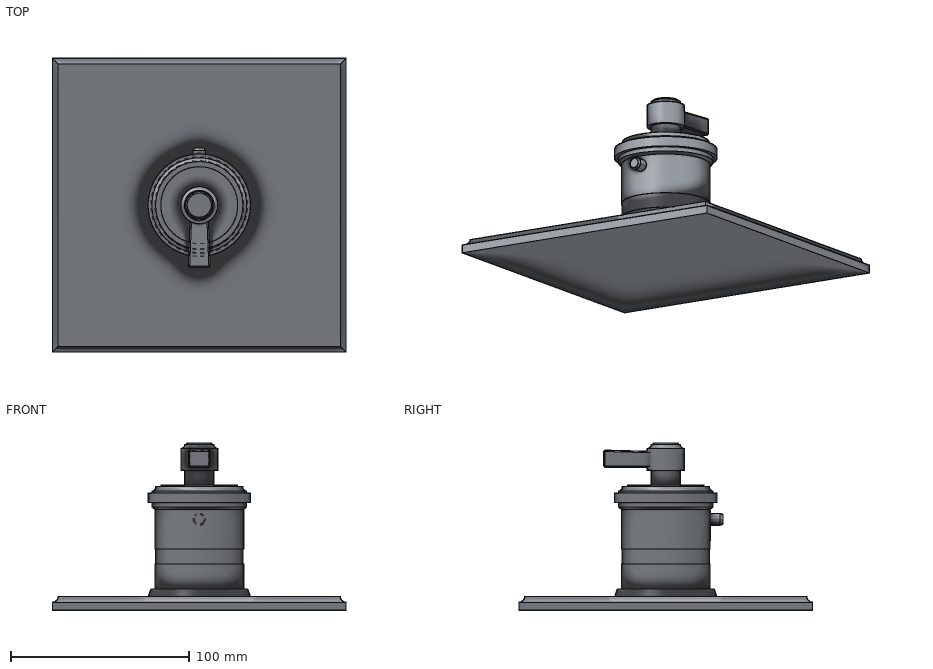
import cadquery as cq

plate_side = 165.1
plate_height = 7.9
plate_edge_height = 4.6
rim_cove_radius = plate_height - plate_edge_height

foot_top_z = 12.1
foot_bottom_radius = 28.7
foot_top_radius = 27.2
barrel_radius = 25.0

band_bottom_z = 26.1
band_top_z = 34.4
band_depth = 0.3

collar_bottom_z = 56.8
collar_bevel = 1.4
collar_radius = 26.6
flange_bottom_z = 60.6
flange_top_z = 65.9
flange_radius = 28.8
collar_top_z = 67.0
crown_z = 69.7
crown_radius = 24.5
cap_z = 70.4
cap_radius = 21.6

stem_radius = 8.2
hub_bottom_z = 78.7
hub_radius = 10.4
hub_shoulder_z = 91.1
hub_cove_bottom_radius = 9.8
hub_cove_top_z = 93.1
hub_cove_top_radius = 8.3
button_bottom_radius = 7.6
button_top_radius = 6.8
total_height = 94.11

lever_reach = 34.9
lever_bottom_z = 80.4
lever_root_width = 10.0
lever_root_top_z = 89.3
lever_tip_width = 12.4
lever_tip_top_z = 90.1
lever_root_y = -hub_radius / 2
lever_edge_chamfer = 0.8
lever_root_fillet = 1.1

pin_radius = 3.4
pin_reach = 32.2
pin_z = 51.2
pin_tip_length = 1.6
pin_tip_inset = 0.7

COVE_SAG = 1 - 0.5 ** 0.5


def add_cove(profile, outer, inner):
    """Continue a profile from outer (r, z) up to inner (r, z) along a concave quarter curve."""
    middle = (
        inner[0] + COVE_SAG * (outer[0] - inner[0]),
        outer[1] + COVE_SAG * (inner[1] - outer[1]),
    )
    return profile.lineTo(*outer).threePointArc(middle, inner)


def make_plate():
    half = plate_side / 2
    plate = cq.Workplane("XY").box(plate_side, plate_side, plate_height, centered=(True, True, False))
    cove_outer = (half, plate_edge_height)
    cove_inner = (half - rim_cove_radius, plate_height)
    rim = add_cove(cq.Workplane("XZ").moveTo(half, plate_height), cove_outer, cove_inner).close()
    strip = rim.extrude(half, both=True)
    for side in range(4):
        plate = plate.cut(strip.rotate((0, 0, 0), (0, 0, 1), 90 * side))
    return plate


def make_turned_body():
    """Foot, barrel, collar, stem and hub, turned about Z."""
    band_radius = barrel_radius - band_depth
    profile = (
        cq.Workplane("XZ")
        .moveTo(0, 0)
        .lineTo(foot_bottom_radius, 0)
        .lineTo(foot_bottom_radius, plate_height)
        .lineTo(foot_top_radius, foot_top_z)
        .lineTo(barrel_radius, foot_top_z)
        .lineTo(barrel_radius, band_bottom_z)
        .lineTo(band_radius, band_bottom_z)
        .lineTo(band_radius, band_top_z)
        .lineTo(barrel_radius, band_top_z)
        .lineTo(barrel_radius, collar_bottom_z)
        .lineTo(collar_radius, collar_bottom_z + collar_bevel)
        .lineTo(collar_radius, flange_bottom_z)
        .lineTo(flange_radius, flange_bottom_z)
        .lineTo(flange_radius, flange_top_z)
        .lineTo(collar_radius, flange_top_z)
    )
    profile = add_cove(profile, (collar_radius, collar_top_z), (crown_radius, crown_z))
    profile = (
        profile.lineTo(cap_radius, crown_z)
        .lineTo(cap_radius, cap_z)
        .lineTo(stem_radius, cap_z)
        .lineTo(stem_radius, hub_bottom_z)
        .lineTo(hub_radius, hub_bottom_z)
        .lineTo(hub_radius, hub_shoulder_z)
    )
    hub_cove_bottom = (hub_cove_bottom_radius, hub_shoulder_z)
    hub_cove_top = (hub_cove_top_radius, hub_cove_top_z)
    profile = add_cove(profile, hub_cove_bottom, hub_cove_top)
    profile = (
        profile.lineTo(button_bottom_radius, hub_cove_top_z)
        .lineTo(button_top_radius, total_height)
        .lineTo(0, total_height)
        .close()
    )
    return profile.revolve(360, (0, 0, 0), (0, 1, 0))


def lever_section(width, top_z):
    """Corners of a lever cross-section in X and Z."""
    half = width / 2
    return [(-half, lever_bottom_z), (half, lever_bottom_z), (half, top_z), (-half, top_z)]


def make_lever():
    lever = (
        cq.Workplane("XZ", origin=(0, lever_root_y, 0))
        .polyline(lever_section(lever_root_width, lever_root_top_z))
        .close()
        .workplane(offset=lever_reach + lever_root_y)
        .polyline(lever_section(lever_tip_width, lever_tip_top_z))
        .close()
        .loft(ruled=True)
    )
    return lever.faces("<Y or >Z or <Z").edges("not >Y").chamfer(lever_edge_chamfer)


def make_pin():
    pin = cq.Workplane("XZ", origin=(0, 0, pin_z)).circle(pin_radius).extrude(-pin_reach)
    return pin.faces(">Y").chamfer(pin_tip_length, pin_tip_inset)


def make_handle_body():
    """Turned body with the lever blended into the hub."""
    body = make_turned_body().union(make_lever())
    blend_zone = cq.selectors.BoxSelector(
        (-lever_tip_width, -hub_radius - lever_edge_chamfer, hub_bottom_z + lever_edge_chamfer),
        (lever_tip_width, lever_root_y, hub_shoulder_z - lever_edge_chamfer),
        boundingbox=True,
    )
    return body.edges(blend_zone).fillet(lever_root_fillet)


result = make_plate().union(make_handle_body()).union(make_pin())